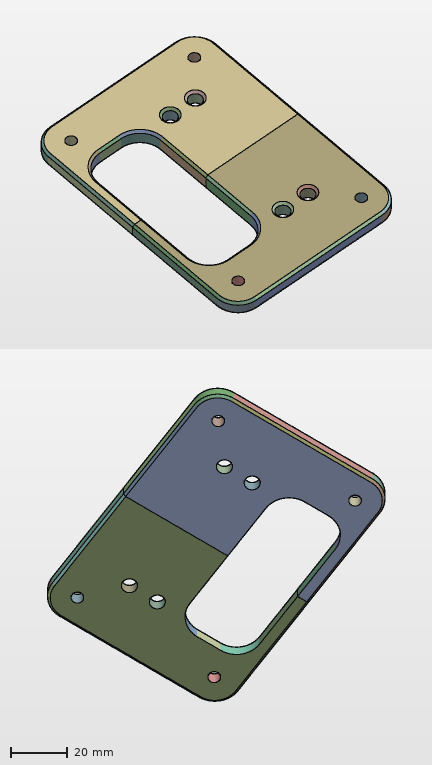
import cadquery as cq

length = 110.0
width = 80.0
thickness = 6.0
corner_radius = 10.0
chamfer = 1.0

window_length = 68.0
window_width = 30.0
window_radius = 10.0
window_center_y = -20.0

corner_hole_diameter = 4.5
corner_hole_x = 44.5
corner_hole_y = 29.5

screw_hole_diameter = 5.7
screw_hole_x = 30.0
screw_hole_ys = (5.0, 16.9)

top_z = thickness / 2


def rounded_block(size_x, size_y, radius):
    """Block of the plate's thickness with rounded vertical corners."""
    return cq.Workplane("XY").box(size_x, size_y, thickness).edges("|Z").fillet(radius)


def window_cutter():
    """Rounded opening that widens through a chamfer at the top face."""
    straight = rounded_block(window_length, window_width, window_radius)
    flare = (
        cq.Workplane("XY")
        .workplane(offset=top_z)
        .sketch()
        .rect(window_length + 2 * chamfer, window_width + 2 * chamfer)
        .vertices()
        .fillet(window_radius + chamfer)
        .finalize()
        .extrude(-chamfer, taper=45)
    )
    return straight.union(flare).translate((0, window_center_y, 0))


def full_plate():
    """Plate with its rim chamfers, window and holes, before it is split."""
    plate = rounded_block(length, width, corner_radius).faces("|Z").edges().chamfer(chamfer)
    plate = plate.cut(window_cutter())

    corner_points = [(x, y) for x in (-corner_hole_x, corner_hole_x) for y in (-corner_hole_y, corner_hole_y)]
    plate = plate.faces(">Z").workplane(origin=(0, 0, top_z)).pushPoints(corner_points).hole(corner_hole_diameter)

    screw_points = [(x, y) for x in (-screw_hole_x, screw_hole_x) for y in screw_hole_ys]
    return (
        plate.faces(">Z")
        .workplane(origin=(0, 0, top_z))
        .pushPoints(screw_points)
        .cskHole(screw_hole_diameter, screw_hole_diameter + 2 * chamfer, 90)
    )


def plate_half(side):
    """Half of the plate on one side of the joint at X = 0 (side is -1 or 1)."""
    half_space = cq.Workplane("XY").box(length / 2, width, thickness).translate((side * length / 4, 0, 0))
    return full_plate().intersect(half_space).solids()


plate_halves = [plate_half(side) for side in (-1, 1)]

result = cq.Compound.makeCompound([half.val() for half in plate_halves])